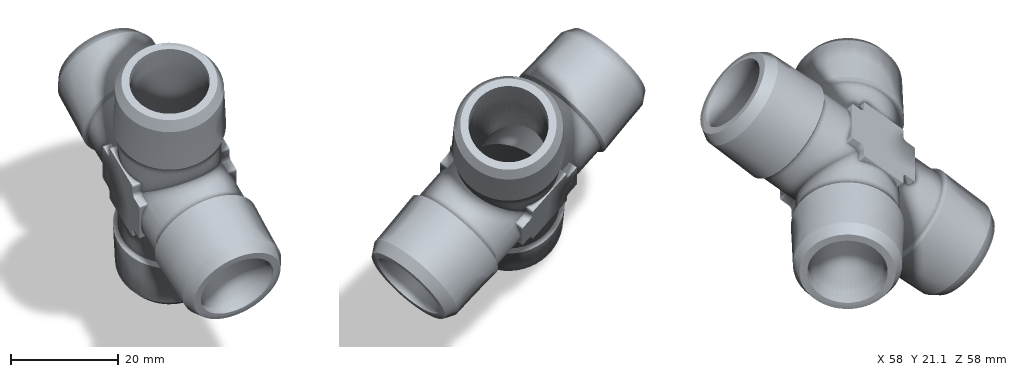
import cadquery as cq

span = 58.0
half_span = span / 2
bore_diameter = 15.0
neck_diameter = 19.5

tip_diameter = 18.0
shoulder_diameter = 20.4
barb_diameter = 21.15
lead_in_length = 2.15
barb_length = 13.45
collar_length = 14.0

pad_span = 15.9
pad_arm_width = 10.0
pad_thickness_span = 20.1
pad_outer_radius = 0.35
pad_inner_radius = 0.85


def double_spigot():
    """Solid run along Z with a barbed collar at both ends."""
    upper_profile = [
        (neck_diameter / 2, half_span - collar_length),
        (barb_diameter / 2, half_span - barb_length),
        (shoulder_diameter / 2, half_span - lead_in_length),
        (tip_diameter / 2, half_span),
    ]
    lower_profile = [(radius, -height) for radius, height in reversed(upper_profile)]
    outline = [(0, -half_span)] + lower_profile + upper_profile + [(0, half_span)]
    return cq.Workplane("XZ").polyline(outline).close().revolve(360, (0, 0), (0, 1))


def turn_to_x(body):
    """Turn a body lying along Z so that it lies along X."""
    return body.rotate((0, 0, 0), (0, 1, 0), 90)


def hub_pads():
    """Rounded cross running through the hub, its ends forming both pads."""
    upright = cq.Workplane("XY").box(pad_arm_width, pad_thickness_span, pad_span)
    cross = upright.union(turn_to_x(upright))
    inner_reach = pad_arm_width / 2 + pad_inner_radius
    inner_corners = cq.selectors.BoxSelector(
        (-inner_reach, -pad_thickness_span, -inner_reach),
        (inner_reach, pad_thickness_span, inner_reach),
    )
    outer_corners = cq.selectors.ParallelDirSelector(cq.Vector(0, 1, 0)) - inner_corners
    cross = cross.edges(outer_corners).fillet(pad_outer_radius)
    return cross.edges("|Y").edges(inner_corners).fillet(pad_inner_radius)


def bore():
    """Through passage along Z."""
    return cq.Workplane("XY").circle(bore_diameter / 2).extrude(half_span, both=True)


spigots = double_spigot()
passage = bore()
body = spigots.union(turn_to_x(spigots)).union(hub_pads())
result = body.cut(passage).cut(turn_to_x(passage))